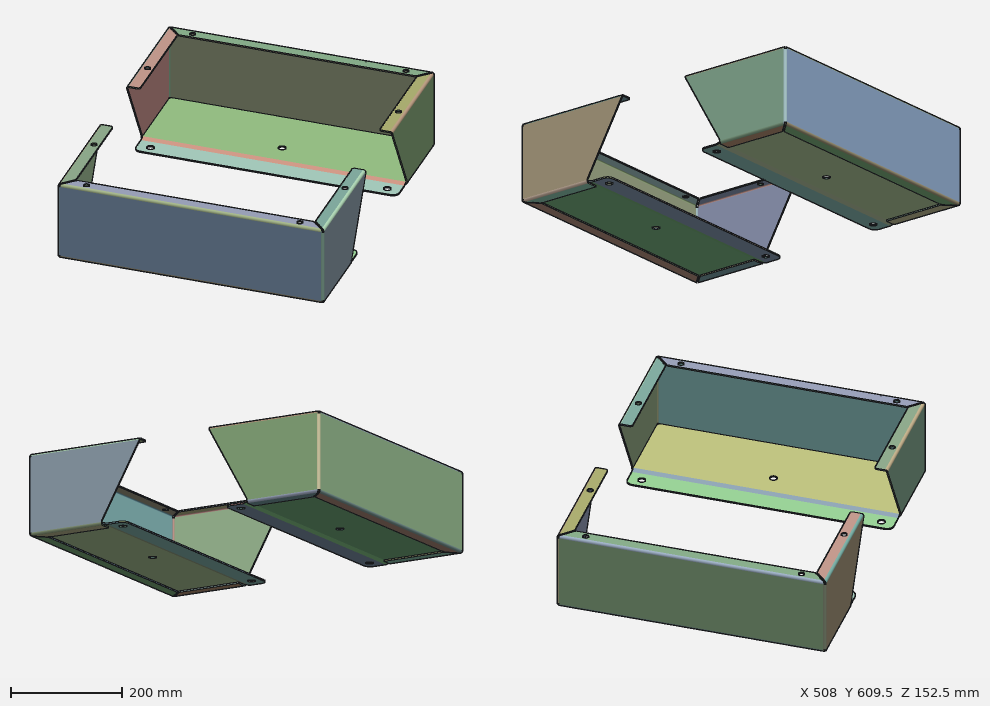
import cadquery as cq
import math

total_width = 508.0
total_depth = 609.5
height = 152.5
back = total_depth / 2

sheet = 2.7
bend_radius = 5.0
inner_radius = bend_radius - sheet
inner_width = total_width - 2 * sheet

top_depth = 231.5
bottom_depth = 152.5
slant_bottom = 7.5
lip_width = 25.5
lip_end_radius = 5.0
miter_gap = 3.0
screw_hole_diameter = 11.0
back_hole_from_back = 14.5
back_hole_from_side = 50.5
side_hole_from_side = 14.5
side_hole_from_back = 158.5

step_length = 10.0
plate_depth = 200.0
flange_corner_radius = 13.0
mount_hole_diameter = 14.0
mount_hole_from_side = 28.0
center_hole_from_back = 108.5

step_start = back - bottom_depth
step_end = step_start - step_length
plate_front = back - plate_depth


def rounded_block(inset, radius):
    """Block inset from the frame's outside, with every edge rounded except around the open front."""
    return (
        cq.Workplane("XY")
        .box(total_width - 2 * inset, top_depth, height - 2 * inset)
        .translate((0, back - inset - top_depth / 2, height / 2))
        .edges("not <Y")
        .fillet(radius)
    )


def side_envelope():
    """Side outline of the frame, its front edge slanting, extruded over the full width."""
    points = [
        (back, 0),
        (back, height),
        (back - top_depth, height),
        (back - top_depth, height - bend_radius),
        (back - bottom_depth, slant_bottom),
        (back - bottom_depth, 0),
    ]
    return cq.Workplane("YZ").polyline(points).close().extrude(total_width / 2, both=True)


def lip_opening():
    """Cutter that opens the top and bottom, leaving only the lips along the walls."""
    return (
        cq.Workplane("XY")
        .box(total_width - 2 * lip_width, top_depth, height)
        .translate((0, back - lip_width - top_depth / 2, height / 2))
    )


def miter_slots():
    """Diagonal cutters that part the upper and lower lips at the two back corners."""
    slot_length = 2 * math.sqrt(2) * lip_width
    slots = []
    for side in (-1, 1):
        for level in (0, height):
            slot = (
                cq.Workplane("XY")
                .box(slot_length, miter_gap, 2 * bend_radius)
                .rotate((0, 0, 0), (0, 0, 1), side * 45)
                .translate((side * (total_width / 2 - lip_width), back - lip_width, level))
            )
            slots.append(slot)
    return slots


def lip_screw_holes():
    """Cutters for the screw holes through the upper lips only."""
    points = []
    for side in (-1, 1):
        points.append((side * (total_width / 2 - back_hole_from_side), back - back_hole_from_back))
        points.append((side * (total_width / 2 - side_hole_from_side), back - side_hole_from_back))
    return (
        cq.Workplane("XY", origin=(0, 0, height / 2))
        .pushPoints(points)
        .circle(screw_hole_diameter / 2)
        .extrude(height / 2)
    )


def make_frame():
    shell = rounded_block(0, bend_radius).cut(rounded_block(sheet, inner_radius))
    frame = shell.intersect(side_envelope()).cut(lip_opening())
    for side in (-1, 1):
        corner = (side * (total_width / 2 - lip_width), back - top_depth, height - sheet / 2)
        frame = frame.edges(cq.selectors.NearestToPointSelector(corner)).fillet(lip_end_radius)
    for slot in miter_slots():
        frame = frame.cut(slot)
    return frame.cut(lip_screw_holes())


def make_floor():
    """Raised part of the plate, its rim shaped to nest in the inside of the frame's bends."""
    return (
        cq.Workplane("XY")
        .box(inner_width, bottom_depth, sheet, centered=(True, False, False))
        .translate((0, step_start, sheet))
        .intersect(rounded_block(sheet, inner_radius))
    )


def make_step_and_flange():
    """Sloping step from the floor down to the level mounting flange."""
    profile = [
        (step_start, sheet),
        (step_start, 2 * sheet),
        (step_end, sheet),
        (plate_front, sheet),
        (plate_front, 0),
        (step_end, 0),
    ]
    return (
        cq.Workplane("YZ")
        .polyline(profile)
        .close()
        .extrude(inner_width / 2, both=True)
        .edges("|Z and <Y")
        .fillet(flange_corner_radius)
    )


def make_floor_plate():
    mount_hole_x = total_width / 2 - mount_hole_from_side
    mount_hole_y = (step_end + plate_front) / 2
    hole_points = [
        (-mount_hole_x, mount_hole_y),
        (mount_hole_x, mount_hole_y),
        (0, back - center_hole_from_back),
    ]
    holes = cq.Workplane("XY").pushPoints(hole_points).circle(mount_hole_diameter / 2).extrude(height)
    return make_floor().union(make_step_and_flange()).cut(holes)


bodies = []
for rear_body in (make_frame(), make_floor_plate()):
    bodies.append(rear_body.solids().val())
    bodies.append(rear_body.mirror("XZ").solids().val())

result = cq.Compound.makeCompound(bodies)